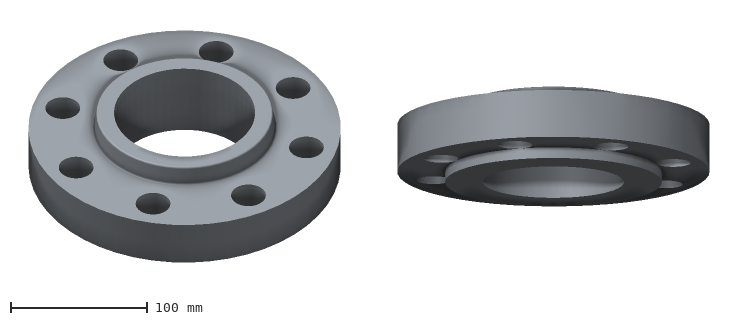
import cadquery as cq

flange_diameter = 228.6
flange_thickness = 35.1

face_diameter = 158.6
face_height = 7.92

overall_height = 57.21
hub_base_diameter = 133.4
hub_top_diameter = 129.0
hub_base_fillet = 1.5
hub_top_fillet = 1.5

bore_diameter = 103.2
bolt_circle_diameter = 184.15
bolt_hole_diameter = 25.4
bolt_count = 8

flange_bottom = face_height
flange_top = flange_bottom + flange_thickness
level_tolerance = 0.1


def revolved_body():
    """Raised face, plate and tapered hub as one solid of revolution."""
    profile = (
        cq.Workplane("XZ")
        .moveTo(0, 0)
        .lineTo(face_diameter / 2, 0)
        .lineTo(face_diameter / 2, flange_bottom)
        .lineTo(flange_diameter / 2, flange_bottom)
        .lineTo(flange_diameter / 2, flange_top)
        .lineTo(hub_base_diameter / 2, flange_top)
        .lineTo(hub_top_diameter / 2, overall_height)
        .lineTo(0, overall_height)
        .close()
    )
    return profile.revolve(360, (0, 0, 0), (0, 1, 0))


def round_hub(body):
    """Round the outer rim of the hub and its junction with the plate."""
    body = body.faces(">Z").edges().fillet(hub_top_fillet)
    edges_on_plate_top = cq.selectors.BoxSelector(
        (-flange_diameter, -flange_diameter, flange_top - level_tolerance),
        (flange_diameter, flange_diameter, flange_top + level_tolerance),
        boundingbox=True,
    )
    hub_base_edge = body.edges(edges_on_plate_top).edges(cq.selectors.RadiusNthSelector(0))
    return hub_base_edge.fillet(hub_base_fillet)


def cut_bore(body):
    return body.faces(">Z").workplane().hole(bore_diameter)


def cut_bolt_holes(body):
    """Through holes evenly spaced on the bolt circle, the first on +X."""
    cutters = (
        cq.Workplane("XY")
        .polarArray(bolt_circle_diameter / 2, 0, 360, bolt_count)
        .circle(bolt_hole_diameter / 2)
        .extrude(overall_height)
    )
    return body.cut(cutters)


result = cut_bolt_holes(cut_bore(round_hub(revolved_body())))